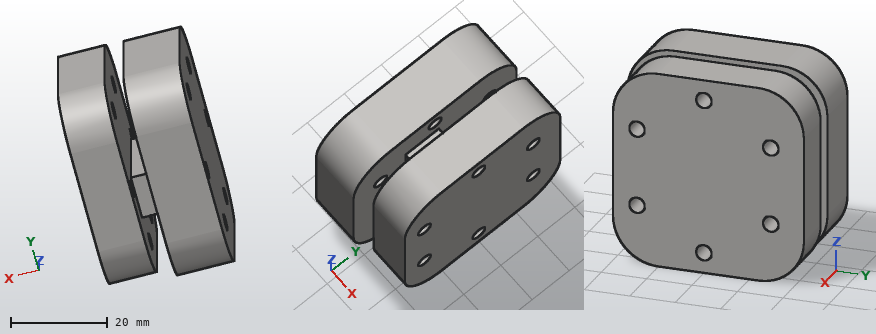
import cadquery as cq

front_thickness = 12.0
gap = 4.0
back_thickness = 10.0
front_width = 44.0
front_height = 42.0
back_width = 42.0
back_height = 43.0
corner_radius = 10.0

block_width = 9.0
block_height = 25.0
block_offset_y = -3.5

hole_diameter = 3.4
bolt_circle_radius = 17.0
hole_count = 6

total_thickness = front_thickness + gap + back_thickness
back_offset_y = (front_width - back_width) / 2


def slab(start_x, thickness, width, height, center_y):
    """Rectangular slab lying in the YZ plane, extending toward +X."""
    return (
        cq.Workplane("YZ", origin=(start_x, center_y, 0))
        .rect(width, height)
        .extrude(thickness)
    )


def rounded_plate(start_x, thickness, width, height, center_y):
    """Slab with its four X-direction corners rounded."""
    return slab(start_x, thickness, width, height, center_y).edges("|X").fillet(corner_radius)


front_plate = rounded_plate(0, front_thickness, front_width, front_height, 0)
back_plate = rounded_plate(
    front_thickness + gap, back_thickness, back_width, back_height, back_offset_y
)
block = slab(front_thickness, gap, block_width, block_height, block_offset_y)

bolt_holes = (
    cq.Workplane("YZ")
    .polarArray(bolt_circle_radius, 90, 360, hole_count)
    .circle(hole_diameter / 2)
    .extrude(total_thickness)
)

result = front_plate.union(block).union(back_plate).cut(bolt_holes)